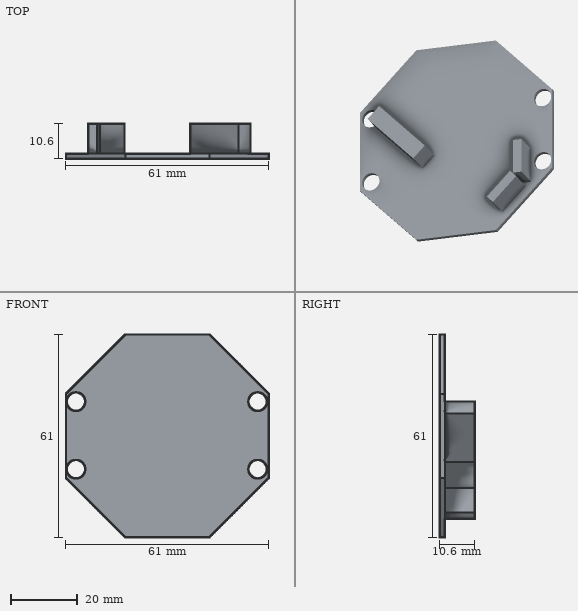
import cadquery as cq
import math

plate_sides = 8
plate_width = 61.0
plate_thickness = 1.6

hole_diameter = 5.5
hole_spacing_x = 54.6
hole_spacing_z = 20.3
hole_pattern_centre = (-0.15, 0.12)

block_height = 9.0
small_block_length = 10.5
small_block_width = 2.75
large_block_length = 20.5
large_block_width = 5.2

upright_block_centre = (-22.45, -11.08)
lower_block_centre = (-17.47, -20.3)
large_block_centre = (15.97, 1.28)

upright_angle = 90.0
falling_angle = -45.0
rising_angle = 45.0


def xz_workplane(y_position):
    """Workplane at the given Y with local axes along X and Z; its normal points to -Y."""
    return cq.Workplane("XZ", origin=(0, y_position, 0))


def make_plate():
    """Regular octagon with flat sides across X and Z."""
    half_step = 180 / plate_sides
    corner_diameter = plate_width / math.cos(math.radians(half_step))
    return (
        xz_workplane(0)
        .transformed(rotate=(0, 0, half_step))
        .polygon(plate_sides, corner_diameter)
        .extrude(-plate_thickness)
    )


def make_holes():
    """Cutters for the four through holes."""
    return (
        xz_workplane(0)
        .center(*hole_pattern_centre)
        .rect(hole_spacing_x, hole_spacing_z, forConstruction=True)
        .vertices()
        .circle(hole_diameter / 2)
        .extrude(-plate_thickness)
    )


def make_block(centre, length, width, angle):
    """Rectangular block on the plate's back, its long side turned by angle from X."""
    return (
        xz_workplane(plate_thickness)
        .center(*centre)
        .transformed(rotate=(0, 0, angle))
        .rect(length, width)
        .extrude(-block_height)
    )


blocks = [
    make_block(upright_block_centre, small_block_length, small_block_width, upright_angle),
    make_block(lower_block_centre, small_block_length, small_block_width, falling_angle),
    make_block(large_block_centre, large_block_length, large_block_width, rising_angle),
]

result = make_plate().cut(make_holes())
for block in blocks:
    result = result.union(block)